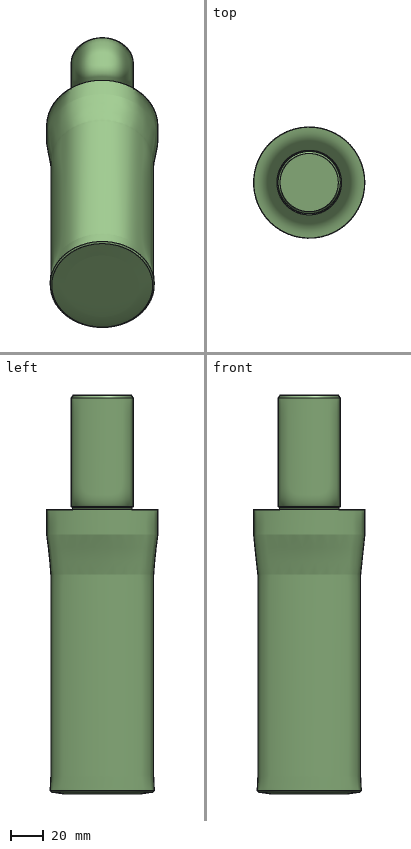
import cadquery as cq

TOTAL_HEIGHT = 243.8
FLARE_TOP = 10.7
TAPER_BOTTOM = 134.0
FLANGE_BOTTOM = 158.5
FLANGE_TOP = 173.9

BARREL_DIAMETER = 63.0
FOOT_DIAMETER = 63.6
FLANGE_DIAMETER = 68.0
BASE_FLAT_DIAMETER = 45.4
BASE_RISE = 1.2
RIM_CHAMFER = 1.0
RIM_HEIGHT = 2.2

ROD_DIAMETER = 38.0
ROD_TOP_INSET = 1.2
ROD_TOP_CHAMFER_HEIGHT = 2.0
NECK_INSET = 0.7
NECK_EXPOSED_HEIGHT = 1.2

SOCKET_MOUTH_DIAMETER = 39.5
SOCKET_MOUTH_DEPTH = 0.7
SOCKET_DEPTH = FLANGE_TOP - FLANGE_BOTTOM

barrel_radius = BARREL_DIAMETER / 2
foot_radius = FOOT_DIAMETER / 2
flange_radius = FLANGE_DIAMETER / 2
rod_radius = ROD_DIAMETER / 2
neck_radius = rod_radius - NECK_INSET
mouth_radius = SOCKET_MOUTH_DIAMETER / 2
socket_floor = FLANGE_TOP - SOCKET_DEPTH


def revolve_profile(profile):
    """Turn a closed half profile, drawn as radius and height, about the vertical axis."""
    return profile.revolve(360, (0, 0), (0, 1))


def make_housing():
    """Turned housing, from its flat base with a conical border up to the flange and rod socket."""
    rim_radius = foot_radius - RIM_CHAMFER
    profile = (
        cq.Workplane("XZ")
        .moveTo(0, 0)
        .lineTo(BASE_FLAT_DIAMETER / 2, 0)
        .lineTo(rim_radius, BASE_RISE)
        .lineTo(foot_radius, BASE_RISE + RIM_CHAMFER)
        .lineTo(foot_radius, BASE_RISE + RIM_HEIGHT)
        .lineTo(barrel_radius, FLARE_TOP)
        .lineTo(barrel_radius, TAPER_BOTTOM)
        .lineTo(flange_radius, FLANGE_BOTTOM)
        .lineTo(flange_radius, FLANGE_TOP)
        .lineTo(mouth_radius, FLANGE_TOP)
        .lineTo(neck_radius, FLANGE_TOP - SOCKET_MOUTH_DEPTH)
        .lineTo(neck_radius, socket_floor)
        .lineTo(0, socket_floor)
        .close()
    )
    return revolve_profile(profile)


def make_rod():
    """Round rod with a chamfered top and a slimmer neck that sits in the socket."""
    shoulder = FLANGE_TOP + NECK_EXPOSED_HEIGHT
    profile = (
        cq.Workplane("XZ")
        .moveTo(0, socket_floor)
        .lineTo(neck_radius, socket_floor)
        .lineTo(neck_radius, shoulder)
        .lineTo(rod_radius, shoulder + NECK_INSET)
        .lineTo(rod_radius, TOTAL_HEIGHT - ROD_TOP_CHAMFER_HEIGHT)
        .lineTo(rod_radius - ROD_TOP_INSET, TOTAL_HEIGHT)
        .lineTo(0, TOTAL_HEIGHT)
        .close()
    )
    return revolve_profile(profile)


housing = make_housing()
rod = make_rod()

result = cq.Compound.makeCompound([housing.val(), rod.val()])